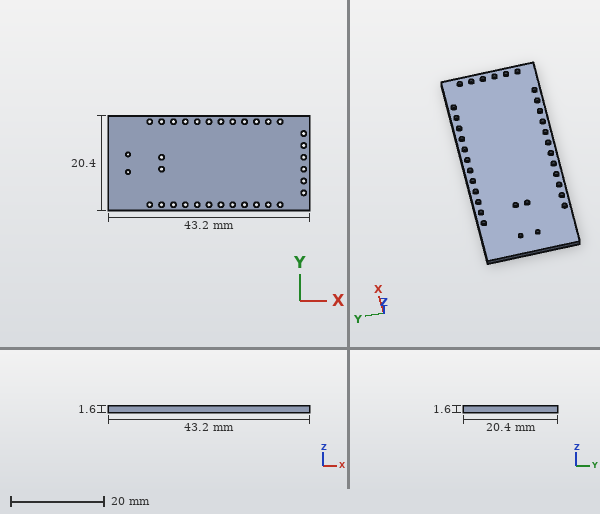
import cadquery as cq

length = 43.2
width = 20.35
thickness = 1.6

pin_diameter = 1.05
row_count = 12
row_span = 27.95
pitch = row_span / (row_count - 1)
row_start_x = -12.7
row_offset_y = 8.9

column_count = 6
column_x = 20.3

pair_count = 2
pair_x = row_start_x + pitch

small_diameter = 0.85
small_x = -17.35
small_spacing = 3.8


def column_points(x, count, spacing):
    """Points along Y at the given x, centred on the X axis."""
    start_y = -spacing * (count - 1) / 2
    return [(x, start_y + i * spacing) for i in range(count)]


def row_points(y):
    """Points of one long row along X."""
    return [(row_start_x + i * pitch, y) for i in range(row_count)]


pin_points = (
    row_points(row_offset_y)
    + row_points(-row_offset_y)
    + column_points(column_x, column_count, pitch)
    + column_points(pair_x, pair_count, pitch)
)
small_points = column_points(small_x, 2, small_spacing)

board = cq.Workplane("XY").box(length, width, thickness)
board = board.faces(">Z").workplane(origin=(0, 0, 0)).pushPoints(pin_points).hole(pin_diameter)
result = board.faces(">Z").workplane(origin=(0, 0, 0)).pushPoints(small_points).hole(small_diameter)